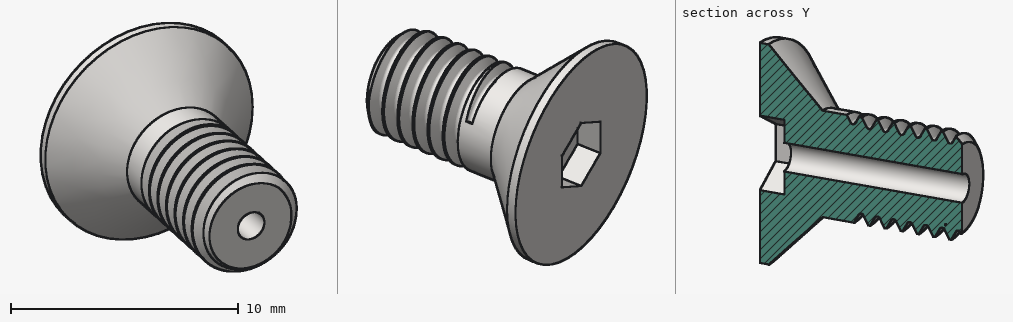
import cadquery as cq
import math


total_length = 10.0
head_diameter = 10.31
head_height = 3.1
thread_diameter = 5.0
end_chamfer = 0.43

socket_across_flats = 3.0
socket_depth = 1.2
bore_diameter = 1.32

pitch = 0.8
flank_angle = 30.0
crest_flat = pitch / 8
sharp_vee_height = pitch * math.sqrt(3) / 2
thread_depth = sharp_vee_height * 17 / 24
groove_start = 4.65
groove_start_angle = 25.0

runout_sweep = 85.5
runout_rise = 0.33

cutter_overlap = 0.04

thread_radius = thread_diameter / 2
root_radius = thread_radius - thread_depth


def make_head():
    """Thin cylindrical rim followed by a 45 degree cone down to the shank."""
    head_radius = head_diameter / 2
    rim_thickness = head_height - (head_radius - thread_radius)
    outline = (
        cq.Workplane("XY")
        .lineTo(0, head_radius)
        .lineTo(rim_thickness, head_radius)
        .lineTo(head_height, thread_radius)
        .lineTo(head_height, 0)
        .close()
    )
    return outline.revolve(360, (0, 0, 0), (1, 0, 0))


def make_shank_cylinder(length):
    """Plain cylinder of the thread diameter, starting where the head cone ends."""
    start = (head_height, 0, 0)
    return cq.Workplane("YZ", origin=start).circle(thread_radius).extrude(length)


def make_threaded_shank():
    """Thread cut into an overlong blank, so the groove ends inside it, then trimmed to the tip."""
    shank_length = total_length - head_height
    blank = make_shank_cylinder(shank_length + 2 * pitch)
    threaded = blank.cut(make_full_groove()).cut(make_runout())
    envelope = make_shank_cylinder(shank_length).faces(">X").chamfer(end_chamfer)
    return threaded.intersect(envelope)


def make_socket():
    """Hexagonal recess with two corners pointing along Z."""
    across_corners = socket_across_flats / math.cos(math.pi / 6)
    hexagon = cq.Workplane("YZ").polygon(6, across_corners).extrude(socket_depth)
    return hexagon.rotate((0, 0, 0), (1, 0, 0), 90)


def make_bore():
    """Round hole through the whole length of the screw."""
    return cq.Workplane("YZ").circle(bore_diameter / 2).extrude(total_length)


def groove_profile():
    """Groove section in the XZ plane with the helix axis along Z: straight flanks, tangent root arc."""
    flank = math.radians(flank_angle)
    half_mouth = (pitch - crest_flat) / 2
    sharp_depth = half_mouth / math.tan(flank)
    root_arc = (sharp_depth - thread_depth) / (1 / math.sin(flank) - 1)
    tangent_radius = root_radius + root_arc * (1 - math.sin(flank))
    half_tangent = root_arc * math.cos(flank)
    outer_radius = thread_radius + cutter_overlap
    half_outer = half_mouth + cutter_overlap * math.tan(flank)
    return (
        cq.Workplane("XZ")
        .moveTo(outer_radius, -half_outer)
        .lineTo(tangent_radius, -half_tangent)
        .threePointArc((root_radius, 0), (tangent_radius, half_tangent))
        .lineTo(outer_radius, half_outer)
        .close()
    )


def place_on_thread(cutter):
    """Turn the helix axis from Z to X and bring the cutter to the start of full depth."""
    along_x = cutter.rotate((0, 0, 0), (0, 1, 0), 90)
    turned = along_x.rotate((0, 0, 0), (1, 0, 0), 180 + groove_start_angle)
    return turned.translate((groove_start, 0, 0))


def make_full_groove():
    """Full-depth helical groove, running about one pitch beyond the tip."""
    helix_height = total_length - groove_start + pitch
    helix = cq.Wire.makeHelix(pitch, helix_height, root_radius)
    return place_on_thread(groove_profile().sweep(cq.Workplane(helix), isFrenet=True))


def make_runout():
    """Conical helix running backwards from the start of full depth and climbing outwards."""
    advance = pitch * runout_sweep / 360
    cone_angle = math.atan2(runout_rise, advance)
    slope_scale = 1 / math.cos(cone_angle)
    spiral = cq.Wire.makeHelix(
        pitch * slope_scale,
        advance * slope_scale,
        root_radius,
        dir=cq.Vector(0, 0, -1),
        angle=math.degrees(cone_angle),
    )
    spiral = spiral.rotate(cq.Vector(0, 0, 0), cq.Vector(0, 0, 1), 180)
    return place_on_thread(groove_profile().sweep(cq.Workplane(spiral), isFrenet=True))


result = make_head().union(make_threaded_shank())
result = result.cut(make_socket()).cut(make_bore())